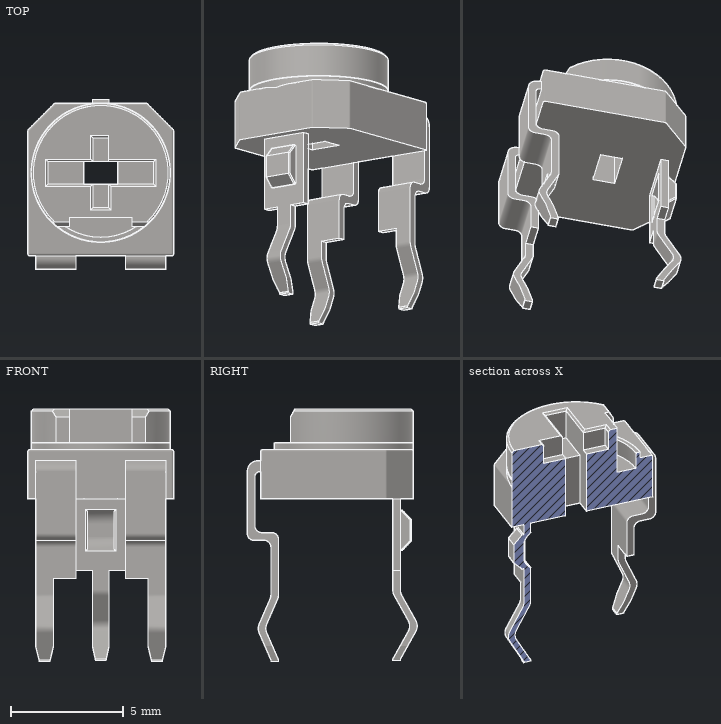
import cadquery as cq
import math


BODY_WIDTH = 6.5
BODY_HEIGHT = 2.2
BODY_BACK = 3.1
BODY_FRONT = -3.7
BODY_CORNER = 1.2
BODY_EDGE_RADIUS = 0.1

DISC_DIAMETER = 6.2
DISC_RIM_DIAMETER = 6.15
DISC_TOP = 2.5
ROTOR_DIAMETER = DISC_DIAMETER
ROTOR_TOP = 4.0
ROTOR_RIM_CHAMFER = 0.1
FLAT_Y = -2.38
FLAT_BEVEL_DEPTH = 0.2
FLAT_BEVEL_HEIGHT = 0.36
NOTCH_WIDTH = 2.8
NOTCH_Y = -1.98
RECESS_DIAMETER = 5.74
RECESS_FLOOR = 1.7

SLOT_BEVEL = 0.1
LONG_SLOT_DEPTH = 1.5
SHORT_SLOT_DEPTH = 1.0
LONG_SLOT = (4.7, 1.0)
SHORT_SLOT = (0.7, 3.1)
WINDOW_WIDTH = 1.5

SHEET = 0.35
BEND_RADIUS = 0.3
KINK_RADIUS = 0.5

SIDE_INNER_X = 1.1
SIDE_OUTER_X = 2.9
SIDE_PIN_WIDTH = 0.8
SIDE_SHOULDER_Z = -3.55
SIDE_TAB_TOP = 1.7
SIDE_TAB_BOTTOM = 1.2
SIDE_TAB_OUTER_RADIUS = 0.48
SIDE_TAB_INNER_RADIUS = 0.2
SIDE_FRONT = -4.3
SIDE_PIN_FRONT = -3.25
SIDE_STEP_TOP = -1.5
SIDE_KINK_TOP = -4.37
SIDE_KINK_RUN = 1.4
SIDE_KINK_OFFSET = -0.61
SIDE_TIP_Z = -7.25

MID_PLATE_WIDTH = 2.2
MID_PIN_WIDTH = 0.75
MID_SHOULDER_Z = -3.2
MID_FRONT = 2.175
MID_KINK_TOP = -4.19
MID_KINK_RUN = 1.47
MID_KINK_OFFSET = 0.82
MID_TIP_Z = -7.2

TIP_WIDTH = 0.47
TIP_TAPER_Z = -6.57

BUMP_WIDTH = 1.34
BUMP_Z = -1.4
BUMP_HEIGHT = 1.8
BUMP_CREST = 0.96
BUMP_PROJECTION = 0.48
BUMP_STEP = 0.08
BUMP_EDGE = 0.05
POCKET_CREST = 0.6
POCKET_MOUTH_BEVEL = 0.08
POCKET_END_LENGTH = 0.54
TROUGH_DEPTH = 0.25


def rounded_outline(corners):
    """Closed YZ outline from (y, z, radius) corners; the first corner stays sharp."""
    pieces = []
    for i, (y, z, radius) in enumerate(corners):
        here = cq.Vector(y, z)
        if radius == 0:
            pieces.append([(y, z)])
            continue
        y_before, z_before, _ = corners[i - 1]
        y_after, z_after, _ = corners[(i + 1) % len(corners)]
        to_before = (cq.Vector(y_before, z_before) - here).normalized()
        to_after = (cq.Vector(y_after, z_after) - here).normalized()
        half_angle = to_before.getAngle(to_after) / 2
        setback = radius / math.tan(half_angle)
        crown = radius / math.sin(half_angle) - radius
        bisector = (to_before + to_after).normalized()
        arc = [here + to_before * setback, here + bisector * crown, here + to_after * setback]
        pieces.append([(point.x, point.y) for point in arc])

    outline = cq.Workplane("YZ").moveTo(*pieces[0][0])
    for piece in pieces[1:]:
        outline = outline.lineTo(*piece[0])
        if len(piece) > 1:
            outline = outline.threePointArc(piece[1], piece[2])
    return outline.close()


def kinked_pin(face_y, kink_top, run, offset, tip_z):
    """Corners of one pin face, from the first bend down to the tip."""
    return [
        (face_y, kink_top, KINK_RADIUS),
        (face_y + offset, kink_top - run, KINK_RADIUS),
        (face_y, kink_top - 2 * run, 0),
        (face_y, tip_z, 0),
    ]


def pin_outline(center_x, width, tip_z):
    """Corners of a pin's tapered end in the XZ plane, from its -X to its +X side."""
    return [
        (center_x - width / 2, TIP_TAPER_Z),
        (center_x - TIP_WIDTH / 2, tip_z),
        (center_x + TIP_WIDTH / 2, tip_z),
        (center_x + width / 2, TIP_TAPER_Z),
    ]


def cut_from_sheet(profile, outline):
    """Bent sheet with the given YZ profile, trimmed to the given XZ outline."""
    sheet = profile.extrude(BODY_WIDTH / 2, both=True)
    blank = cq.Workplane("XZ").polyline(outline).close().extrude(2 * BODY_WIDTH, both=True)
    return sheet.intersect(blank)


def make_housing():
    half = BODY_WIDTH / 2
    outline = [
        (-half, BODY_FRONT),
        (half, BODY_FRONT),
        (half, BODY_BACK - BODY_CORNER),
        (half - BODY_CORNER, BODY_BACK),
        (-half + BODY_CORNER, BODY_BACK),
        (-half, BODY_BACK - BODY_CORNER),
    ]
    block = cq.Workplane("XY").polyline(outline).close().extrude(BODY_HEIGHT)
    return block.edges("|Z or >Z").fillet(BODY_EDGE_RADIUS)


def make_disc():
    rim_chamfer = (DISC_DIAMETER - DISC_RIM_DIAMETER) / 2
    disc = cq.Workplane("XY").circle(DISC_DIAMETER / 2).extrude(DISC_TOP)
    return disc.faces(">Z").chamfer(rim_chamfer)


def make_rotor():
    radius = ROTOR_DIAMETER / 2
    knob = (
        cq.Workplane("XY", origin=(0, 0, DISC_TOP))
        .circle(radius)
        .extrude(ROTOR_TOP - DISC_TOP)
        .faces(">Z")
        .chamfer(ROTOR_RIM_CHAMFER)
    )
    bevel = (
        cq.Workplane("YZ")
        .polyline([
            (FLAT_Y, ROTOR_TOP - FLAT_BEVEL_HEIGHT),
            (FLAT_Y + FLAT_BEVEL_DEPTH, ROTOR_TOP),
            (FLAT_Y, ROTOR_TOP),
        ])
        .close()
        .extrude(radius, both=True)
    )
    return knob.cut(front_clearance()).cut(bevel)


def front_clearance():
    """Space in front of the rotor flat, with a notch, reaching down to the recess floor."""
    half_notch = NOTCH_WIDTH / 2
    half_width = ROTOR_DIAMETER / 2
    front_y = -ROTOR_DIAMETER
    return (
        cq.Workplane("XY", origin=(0, 0, RECESS_FLOOR))
        .polyline([
            (-half_width, front_y),
            (half_width, front_y),
            (half_width, FLAT_Y),
            (half_notch, FLAT_Y),
            (half_notch, NOTCH_Y),
            (-half_notch, NOTCH_Y),
            (-half_notch, FLAT_Y),
            (-half_width, FLAT_Y),
        ])
        .close()
        .extrude(ROTOR_TOP - RECESS_FLOOR)
    )


def recess_cutter():
    """Recess below the rotor flat, bounded in front by a round rim."""
    well = (
        cq.Workplane("XY", origin=(0, 0, RECESS_FLOOR))
        .circle(RECESS_DIAMETER / 2)
        .extrude(DISC_TOP - RECESS_FLOOR)
    )
    return well.intersect(front_clearance())


def slot_cutter(size, depth):
    """Straight-walled slot whose mouth is bevelled outwards at the rotor top."""
    length, width = size
    walls = cq.Workplane("XY", origin=(0, 0, ROTOR_TOP - depth)).rect(length, width).extrude(depth)
    mouth = (
        cq.Workplane("XY", origin=(0, 0, ROTOR_TOP - SLOT_BEVEL))
        .rect(length, width)
        .workplane(offset=SLOT_BEVEL)
        .rect(length + 2 * SLOT_BEVEL, width + 2 * SLOT_BEVEL)
        .loft(ruled=True)
    )
    return walls.union(mouth)


def short_slot_cutter():
    """Short slot; the +X edge of its +Y arm keeps a sharp mouth."""
    _, slot_width = LONG_SLOT
    short_width, short_length = SHORT_SLOT
    sharp_edge = cq.Workplane("XY").box(
        SLOT_BEVEL, short_length, 2 * SLOT_BEVEL, centered=False
    ).translate((short_width / 2, slot_width / 2, ROTOR_TOP - SLOT_BEVEL))
    return slot_cutter(SHORT_SLOT, SHORT_SLOT_DEPTH).cut(sharp_edge)


def window_cutter():
    _, slot_width = LONG_SLOT
    return cq.Workplane("XY").rect(WINDOW_WIDTH, slot_width).extrude(ROTOR_TOP)


def make_side_terminal():
    tab_inner = SIDE_FRONT + SHEET
    pin_back = SIDE_PIN_FRONT + SHEET
    step_bottom = SIDE_STEP_TOP - SHEET
    kink = (SIDE_KINK_TOP, SIDE_KINK_RUN, SIDE_KINK_OFFSET, SIDE_TIP_Z)
    front_face = [
        (BODY_FRONT, SIDE_TAB_TOP, 0),
        (SIDE_FRONT, SIDE_TAB_TOP, SIDE_TAB_OUTER_RADIUS),
        (SIDE_FRONT, step_bottom, BEND_RADIUS),
        (SIDE_PIN_FRONT, step_bottom, BEND_RADIUS),
    ] + kinked_pin(SIDE_PIN_FRONT, *kink)
    back_face = [
        (BODY_FRONT, SIDE_TAB_BOTTOM, 0),
        (tab_inner, SIDE_TAB_BOTTOM, SIDE_TAB_INNER_RADIUS),
        (tab_inner, SIDE_STEP_TOP, BEND_RADIUS),
        (pin_back, SIDE_STEP_TOP, BEND_RADIUS),
    ] + kinked_pin(pin_back, *kink)
    profile = rounded_outline(front_face + back_face[::-1])

    pin_inner_x = SIDE_OUTER_X - SIDE_PIN_WIDTH
    pin_center = SIDE_OUTER_X - SIDE_PIN_WIDTH / 2
    outline = [
        (SIDE_OUTER_X, SIDE_TAB_TOP),
        (SIDE_INNER_X, SIDE_TAB_TOP),
        (SIDE_INNER_X, SIDE_SHOULDER_Z),
        (pin_inner_x, SIDE_SHOULDER_Z),
    ] + pin_outline(pin_center, SIDE_PIN_WIDTH, SIDE_TIP_Z)
    return cut_from_sheet(profile, outline)


def make_middle_terminal():
    back = MID_FRONT + SHEET
    kink = (MID_KINK_TOP, MID_KINK_RUN, MID_KINK_OFFSET, MID_TIP_Z)
    front_face = [(MID_FRONT, 0, 0)] + kinked_pin(MID_FRONT, *kink)
    back_face = [(back, 0, 0)] + kinked_pin(back, *kink)
    profile = rounded_outline(front_face + back_face[::-1])

    half_plate = MID_PLATE_WIDTH / 2
    half_pin = MID_PIN_WIDTH / 2
    outline = [
        (half_plate, 0),
        (-half_plate, 0),
        (-half_plate, MID_SHOULDER_Z),
        (-half_pin, MID_SHOULDER_Z),
    ] + pin_outline(0, MID_PIN_WIDTH, MID_TIP_Z) + [
        (half_pin, MID_SHOULDER_Z),
        (half_plate, MID_SHOULDER_Z),
    ]
    return cut_from_sheet(profile, outline).union(make_bump()).cut(bump_pocket())


def make_bump():
    back = MID_FRONT + SHEET
    half = BUMP_HEIGHT / 2
    return (
        cq.Workplane("YZ")
        .polyline([
            (back, BUMP_Z - half),
            (back + BUMP_STEP, BUMP_Z - half),
            (back + BUMP_PROJECTION, BUMP_Z - BUMP_CREST / 2),
            (back + BUMP_PROJECTION, BUMP_Z + BUMP_CREST / 2),
            (back + BUMP_STEP, BUMP_Z + half),
            (back, BUMP_Z + half),
        ])
        .close()
        .extrude(BUMP_WIDTH / 2, both=True)
        .faces("<X or >X")
        .edges("not <Y")
        .chamfer(BUMP_EDGE)
    )


def bump_pocket():
    """Hollow of the bump: a trough with rounded ends and a bevelled mouth."""
    half_crest = POCKET_CREST / 2
    half_mouth = half_crest + POCKET_END_LENGTH
    trough_front = MID_FRONT + POCKET_MOUTH_BEVEL
    floor_y = trough_front + TROUGH_DEPTH
    width = BUMP_WIDTH - 2 * POCKET_MOUTH_BEVEL
    half_trough = (
        cq.Workplane("YZ", origin=(0, 0, BUMP_Z))
        .moveTo(trough_front, 0)
        .lineTo(floor_y, 0)
        .lineTo(floor_y, half_crest)
        .tangentArcPoint((trough_front, half_mouth), relative=False)
        .close()
        .extrude(width / 2, both=True)
    )
    trough = half_trough.union(half_trough.mirror("XY", (0, 0, BUMP_Z)))
    mouth = (
        cq.Workplane("XZ", origin=(0, MID_FRONT, BUMP_Z))
        .rect(BUMP_WIDTH, 2 * (half_mouth + POCKET_MOUTH_BEVEL))
        .workplane(offset=-POCKET_MOUTH_BEVEL)
        .rect(width, 2 * half_mouth)
        .loft(ruled=True)
    )
    return trough.union(mouth)


side_terminal = make_side_terminal()

result = (
    make_housing()
    .union(make_disc())
    .union(make_rotor())
    .cut(recess_cutter())
    .cut(slot_cutter(LONG_SLOT, LONG_SLOT_DEPTH))
    .cut(short_slot_cutter())
    .cut(window_cutter())
    .union(side_terminal)
    .union(side_terminal.mirror("YZ"))
    .union(make_middle_terminal())
)